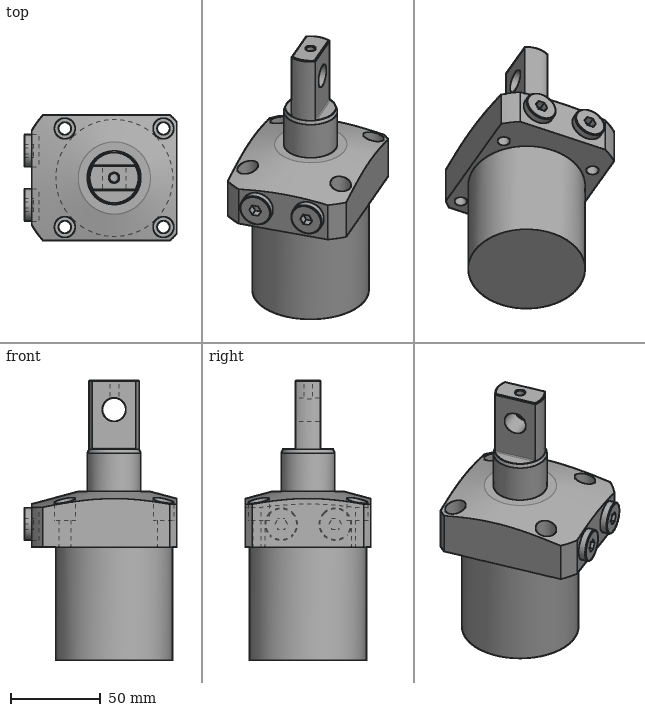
import cadquery as cq
import math

total_height = 156.0

barrel_diameter = 65.2
flange_bottom_z = 63.0
flange_top_z = 94.0
flange_width = 70.0
flange_right_x = 35.0
flange_left_x = -45.9
left_corner_radius = 52.9
right_corner_radius = 46.8
top_flat_radius = 20.1
cone_angle = 15.0
cone_rim_margin = 1.5

bolt_spacing = 54.9
bolt_hole_diameter = 6.9
counterbore_diameter = 11.5
counterbore_floor_z = 78.0

plug_diameter = 18.1
plug_protrusion = 4.2
plug_insertion = 3.9
plug_spacing = 30.1
plug_z = 76.0
plug_chamfer = 0.5
socket_across_flats = 6.1
socket_sides = 6
socket_depth = 5.0

rod_diameter = 30.0
shoulder_z = 117.5
flat_floor_z = 117.8
shoulder_chamfer_height = 2.0
tongue_diameter = 28.1
tongue_thickness = 14.0
tongue_chamfer = 0.55
tongue_foot_fillet = 0.55
pin_hole_diameter = 13.0
pin_hole_z = 139.6
grease_hole_diameter = 5.0
grease_hole_chamfer = 0.5

plug_centers_y = (-plug_spacing / 2, plug_spacing / 2)


def vertical_cylinder(radius, bottom_z, top_z):
    return cq.Workplane("XY").workplane(offset=bottom_z).circle(radius).extrude(top_z - bottom_z)


def flange_outline():
    """Rectangle whose corners are rounded by arcs centred on the rod axis."""
    half_width = flange_width / 2
    left_arc_x = -math.sqrt(left_corner_radius**2 - half_width**2)
    left_arc_y = math.sqrt(left_corner_radius**2 - flange_left_x**2)
    right_arc_x = math.sqrt(right_corner_radius**2 - half_width**2)
    right_arc_y = math.sqrt(right_corner_radius**2 - flange_right_x**2)

    def arc_middle(radius, first, second):
        middle_angle = (math.atan2(first[1], first[0]) + math.atan2(second[1], second[0])) / 2
        return (radius * math.cos(middle_angle), radius * math.sin(middle_angle))

    left_end = (flange_left_x, left_arc_y)
    left_start = (left_arc_x, half_width)
    right_end = (right_arc_x, half_width)
    right_start = (flange_right_x, right_arc_y)
    left_middle = arc_middle(left_corner_radius, left_start, left_end)
    right_middle = arc_middle(right_corner_radius, right_start, right_end)

    def mirrored(point):
        return (point[0], -point[1])

    return (
        cq.Workplane("XY")
        .workplane(offset=flange_bottom_z)
        .moveTo(*right_start)
        .threePointArc(right_middle, right_end)
        .lineTo(*left_start)
        .threePointArc(left_middle, left_end)
        .lineTo(*mirrored(left_end))
        .threePointArc(mirrored(left_middle), mirrored(left_start))
        .lineTo(*mirrored(right_end))
        .threePointArc(mirrored(right_middle), mirrored(right_start))
        .close()
    )


def cone_envelope():
    """Solid of revolution whose top is flat near the axis and slopes down outside."""
    rim_radius = left_corner_radius + cone_rim_margin
    rim_z = flange_top_z - (rim_radius - top_flat_radius) * math.tan(math.radians(cone_angle))
    return (
        cq.Workplane("XZ")
        .lineTo(rim_radius, 0)
        .lineTo(rim_radius, rim_z)
        .lineTo(top_flat_radius, flange_top_z)
        .lineTo(0, flange_top_z)
        .close()
        .revolve(360, (0, 0, 0), (0, 1, 0))
    )


def plug_blank(center_y):
    """Plain cylinder filling the space that one plug takes up."""
    inner_x = flange_left_x + plug_insertion
    return (
        cq.Workplane("YZ", origin=(inner_x, center_y, plug_z))
        .circle(plug_diameter / 2)
        .extrude(-(plug_insertion + plug_protrusion))
    )


def make_housing():
    flange = flange_outline().extrude(flange_top_z - flange_bottom_z).intersect(cone_envelope())
    housing = vertical_cylinder(barrel_diameter / 2, 0, flange_bottom_z).union(flange)

    for x in (-bolt_spacing / 2, bolt_spacing / 2):
        for y in (-bolt_spacing / 2, bolt_spacing / 2):
            bolt_hole = vertical_cylinder(bolt_hole_diameter / 2, flange_bottom_z, flange_top_z)
            counterbore = vertical_cylinder(counterbore_diameter / 2, counterbore_floor_z, flange_top_z)
            housing = housing.cut(bolt_hole.union(counterbore).translate((x, y, 0)))

    for center_y in plug_centers_y:
        housing = housing.cut(plug_blank(center_y))
    return housing


def make_plug(center_y):
    outer_x = flange_left_x - plug_protrusion
    socket_across_corners = socket_across_flats / math.cos(math.pi / socket_sides)
    socket = (
        cq.Workplane("YZ", origin=(outer_x, center_y, plug_z))
        .polygon(socket_sides, socket_across_corners)
        .extrude(socket_depth)
    )
    return plug_blank(center_y).faces("<X").chamfer(plug_chamfer).cut(socket)


def make_rod():
    chamfer_width = (rod_diameter - tongue_diameter) / 2
    shank = (
        vertical_cylinder(rod_diameter / 2, flange_top_z, shoulder_z)
        .faces(">Z")
        .chamfer(shoulder_chamfer_height, chamfer_width)
    )

    rod = shank.union(vertical_cylinder(tongue_diameter / 2, shoulder_z, total_height))
    for side in (-1, 1):
        flat_cut = (
            cq.Workplane("XY")
            .box(rod_diameter, rod_diameter, total_height - flat_floor_z, centered=(True, True, False))
            .edges("<Z and |X")
            .fillet(tongue_foot_fillet)
            .translate((0, side * (tongue_thickness + rod_diameter) / 2, flat_floor_z))
        )
        rod = rod.cut(flat_cut)
    rod = rod.faces(">Z").chamfer(tongue_chamfer)

    pin_hole = (
        cq.Workplane("XZ", origin=(0, 0, pin_hole_z))
        .circle(pin_hole_diameter / 2)
        .extrude(tongue_thickness, both=True)
    )
    grease_hole = vertical_cylinder(grease_hole_diameter / 2, pin_hole_z, total_height)
    rod = rod.cut(grease_hole)
    grease_hole_rim = rod.faces(">Z").edges("%CIRCLE").edges(cq.selectors.RadiusNthSelector(0))
    rod = grease_hole_rim.chamfer(grease_hole_chamfer)
    return rod.cut(pin_hole)


housing = make_housing()
rod = make_rod()
plugs = [make_plug(center_y) for center_y in plug_centers_y]

result = cq.Compound.makeCompound([housing.val(), rod.val(), *[plug.val() for plug in plugs]])